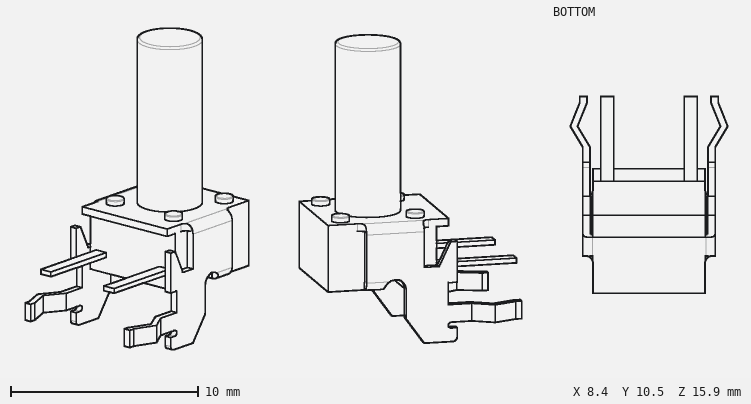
import cadquery as cq
import math


total_length = 10.52
total_height = 15.86

body_width = 6.0
body_height = 3.65
body_half = body_width / 2
cover_thickness = 0.41
cover_overhang = 0.67
terminal_tip_y = body_half - total_length

plunger_radius = 1.75
plunger_height = 9.23
plunger_round = 0.13

rivet_radius = 0.48
rivet_height = 0.3
rivet_round = 0.05
rivet_offset = 2.06

terminal_width = 0.71
terminal_thickness = 0.27
terminal_spacing = 4.45
terminal_top_z = -2.49

sheet = 0.4
clip_outer_x = 3.54
clip_inner_x = clip_outer_x - sheet
bend_radius = 0.5
clip_width = 3.19
clip_center_y = -0.59
clip_back_y = clip_center_y + clip_width / 2
clip_front_y = clip_center_y - clip_width / 2
corner_radius = 0.36
relief_radius = 0.59
channel_height = 0.43

leg_back_y = clip_center_y - relief_radius
leg_top_z = -2.47
leg_bottom_z = plunger_height - total_height
leg_taper_z = -5.23
leg_front_y = -4.0
neck_y = -3.5
prong_top_y = -3.63
prong_top_z = -1.15
prong_bottom_z = -3.4
toe_radius = 0.25

tail_top_z = -4.6
tail_bottom_z = -5.57
tail_kink_start_y = -4.8
tail_kink_y = -5.92
tail_kink_end_y = -7.18
tail_kink_x = 4.2
tail_tip_x = 3.7
slot_radius = 0.16
slot_center_y = neck_y - slot_radius


def block(x_range, y_range, z_range):
    """Box spanning the given pairs of coordinates."""
    (x0, x1), (y0, y1), (z0, z1) = x_range, y_range, z_range
    return cq.Workplane("XY").box(x1 - x0, y1 - y0, z1 - z0, centered=False).translate((x0, y0, z0))


def make_body():
    """Square housing with a channel across its underside, and the cover plate."""
    across = (-body_half, body_half)
    housing = block(across, across, (-body_height, 0))
    channel_y = (clip_center_y - relief_radius, clip_center_y + relief_radius)
    channel = block(across, channel_y, (-body_height, channel_height - body_height))
    cover = block(across, (-body_half - cover_overhang, body_half), (-cover_thickness, 0))
    return housing.cut(channel).union(cover)


def make_plunger():
    plunger = cq.Workplane("XY").circle(plunger_radius).extrude(plunger_height)
    return plunger.faces(">Z").fillet(plunger_round)


def make_rivets():
    pitch = 2 * rivet_offset
    rivets = cq.Workplane("XY").rarray(pitch, pitch, 2, 2).circle(rivet_radius).extrude(rivet_height)
    return rivets.faces(">Z").fillet(rivet_round)


def make_terminal(side):
    """Flat terminal running from inside the housing to the front tip."""
    center_x = side * terminal_spacing / 2
    return block(
        (center_x - terminal_width / 2, center_x + terminal_width / 2),
        (terminal_tip_y, 0),
        (terminal_top_z - terminal_thickness, terminal_top_z),
    )


def make_bent_strip(back_y, front_y, bottom_z):
    """Strip that leaves the housing side at Z = 0 and bends down into a wall."""
    center_x = clip_outer_x - bend_radius
    inner_radius = bend_radius - sheet
    diagonal = math.sqrt(0.5)
    outer_mid = (center_x + bend_radius * diagonal, bend_radius * (diagonal - 1))
    inner_mid = (center_x + inner_radius * diagonal, inner_radius * diagonal - bend_radius)
    return (
        cq.Workplane("XZ", origin=(0, back_y, 0))
        .moveTo(0, 0)
        .lineTo(center_x, 0)
        .threePointArc(outer_mid, (clip_outer_x, -bend_radius))
        .lineTo(clip_outer_x, bottom_z)
        .lineTo(clip_inner_x, bottom_z)
        .lineTo(clip_inner_x, -bend_radius)
        .threePointArc(inner_mid, (center_x, -sheet))
        .lineTo(0, -sheet)
        .close()
        .extrude(back_y - front_y)
    )


def make_corner_flares():
    """Concave corners that blend the strip edges into the cover edge."""
    reach_x = body_half + corner_radius
    width = clip_width + 2 * corner_radius
    flares = block(
        (body_half, reach_x),
        (clip_front_y - corner_radius, clip_back_y + corner_radius),
        (-cover_thickness, 0),
    )
    hollows = (
        cq.Workplane("XY", origin=(reach_x, clip_center_y, 0))
        .rarray(0.16, width, 1, 2)
        .circle(corner_radius)
        .extrude(-cover_thickness)
    )
    envelope = (
        cq.Workplane("XY")
        .box(2 * clip_outer_x, 2 * width, body_height, centered=(True, True, False))
        .translate((0, 0, -body_height))
        .edges(">X and >Z")
        .fillet(bend_radius)
    )
    return flares.cut(hollows).intersect(envelope)


def make_leg():
    """Flat leg with an upward prong, a tapered back and a rounded, hooked toe."""
    slot_z = tail_bottom_z - slot_radius
    return (
        cq.Workplane("YZ", origin=(clip_inner_x, 0, 0))
        .moveTo(clip_center_y, leg_top_z)
        .lineTo(-body_half, leg_top_z)
        .lineTo(prong_top_y, prong_top_z)
        .lineTo(leg_front_y, prong_top_z)
        .lineTo(leg_front_y, prong_bottom_z)
        .lineTo(neck_y, prong_bottom_z)
        .lineTo(neck_y, tail_top_z)
        .lineTo(slot_center_y, tail_top_z)
        .lineTo(slot_center_y, tail_bottom_z)
        .threePointArc((slot_center_y + slot_radius, slot_z), (slot_center_y, slot_z - slot_radius))
        .lineTo(leg_front_y, slot_z - slot_radius)
        .lineTo(leg_front_y, leg_bottom_z + toe_radius)
        .radiusArc((leg_front_y + toe_radius, leg_bottom_z), -toe_radius)
        .lineTo(clip_front_y, leg_bottom_z)
        .lineTo(leg_back_y, leg_taper_z)
        .lineTo(leg_back_y, -body_height)
        .lineTo(clip_center_y, -body_height)
        .close()
        .extrude(sheet)
    )


def make_tail():
    """Zigzag spring tail, of constant thickness along X."""
    outer_edge = [
        (clip_outer_x, neck_y),
        (clip_outer_x, tail_kink_start_y),
        (tail_kink_x, tail_kink_y),
        (tail_tip_x, tail_kink_end_y),
        (tail_tip_x, terminal_tip_y),
    ]
    inner_edge = [(x - sheet, y) for x, y in reversed(outer_edge)]
    return (
        cq.Workplane("XY", origin=(0, 0, tail_bottom_z))
        .polyline(outer_edge + inner_edge)
        .close()
        .extrude(tail_top_z - tail_bottom_z)
    )


def make_clip():
    """Clip on the +X side: upper strip, lower tab, leg and tail."""
    wall_bottom_z = bend_radius - body_height
    upper_strip = make_bent_strip(clip_back_y, clip_front_y, wall_bottom_z)
    lower_tab = (
        make_bent_strip(clip_back_y, clip_center_y, -body_height / 2)
        .mirror("XY")
        .translate((0, 0, -body_height))
    )
    relief = (
        cq.Workplane("YZ")
        .center(clip_center_y, -body_height)
        .circle(relief_radius)
        .extrude(clip_outer_x)
    )
    clip = upper_strip.union(lower_tab).union(make_leg()).cut(relief)
    inside = block((0, body_half), (-body_width, body_width), (leg_bottom_z, 0))
    return clip.cut(inside).union(make_corner_flares()).union(make_tail())


clip = make_clip()
result = make_body().union(make_plunger()).union(make_rivets())
result = result.union(clip).union(clip.mirror("YZ"))
for side in (-1, 1):
    result = result.union(make_terminal(side))